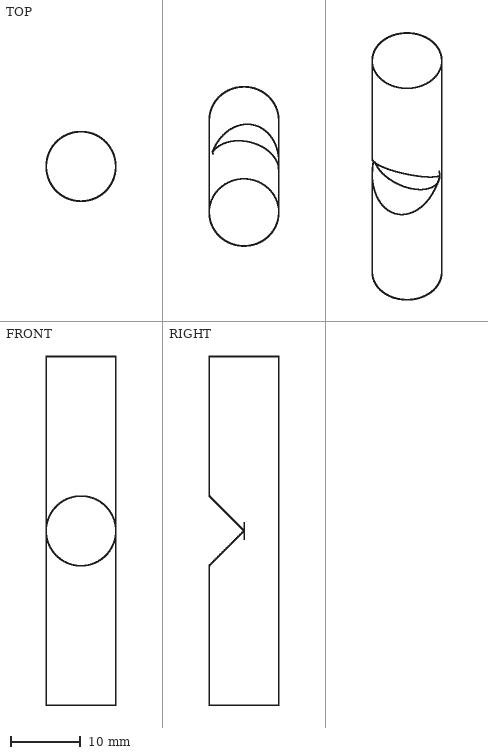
import cadquery as cq

length = 50.0
diameter = 10.0
radius = diameter / 2

bar = cq.Workplane("XY").circle(radius).extrude(length / 2, both=True)

bore = cq.Workplane("XZ").circle(radius).extrude(radius)

result = bar.cut(bore)